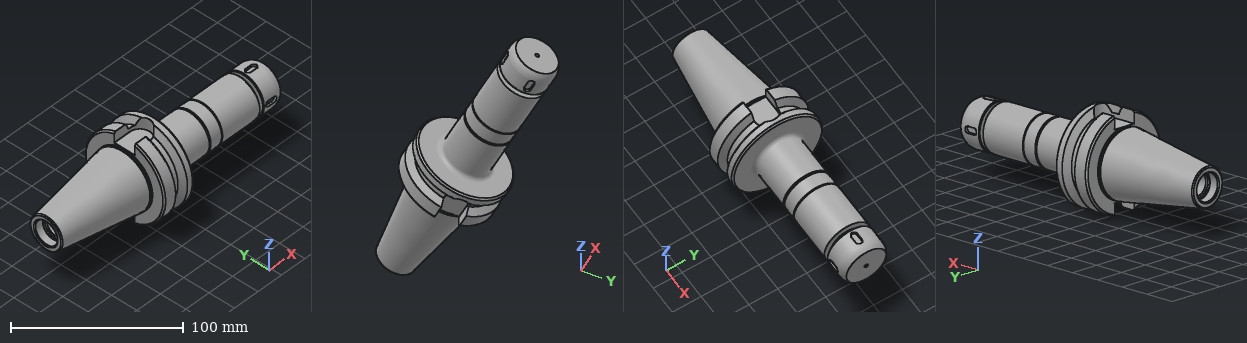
import cadquery as cq
import math

total_length = 185.4
taper_length = 65.5
flange_start = 67.1
flange_end = 92.3
body_end = 165.4
nut_start = 168.3

taper_ratio = 7 / 24
gauge_diameter = 44.5
taper_end_chamfer = 0.7
relief_diameter = 43.4
relief_end = 66.4

flange_diameter = 63.0
flange_chamfer = 1.1
groove_center = 81.8
groove_floor_diameter = 53.2
groove_floor_width = 4.5
groove_flank_angle = 60.0

drive_slot_width = 16.1
drive_slot_floor = 22.5
drive_slot_end = 88.5

body_diameter = 32.0
flange_fillet = 3.0
body_end_bevel_length = 1.1
body_end_bevel_height = 0.2
body_neck_diameter = 22.2
mark_depth = 0.2
wide_mark = (122.4, 1.1)
narrow_mark = (133.0, 0.5)

nut_start_chamfer = 0.5
nut_round_start = 179.8
nut_round_height = 1.9
nut_face_chamfer = 0.4
spanner_slot_width = 4.3
spanner_slot_start = 170.5
spanner_slot_end = 179.7
spanner_slot_depth = 1.9
spanner_slot_count = 4

mouth_diameter = 19.0
pilot_diameter = 17.5
mouth_chamfer = (mouth_diameter - pilot_diameter) / 2
pilot_depth = 6.7
undercut_diameter = 16.7
thread_diameter = 16.0
thread_start_depth = 7.8
core_diameter = 14.3
thread_chamfer = (thread_diameter - core_diameter) / 2
core_depth = 34.3
cone_end_diameter = 6.0
cone_half_angle = 60.0
coolant_diameter = 2.5

gauge_radius = gauge_diameter / 2
small_end_radius = gauge_radius - taper_length * taper_ratio / 2
relief_radius = relief_diameter / 2
flange_radius = flange_diameter / 2
body_radius = body_diameter / 2
body_neck_radius = body_neck_diameter / 2
groove_floor_radius = groove_floor_diameter / 2
groove_flank_length = (flange_radius - groove_floor_radius) / math.tan(math.radians(groove_flank_angle))
groove_floor_start = groove_center - groove_floor_width / 2
groove_floor_end = groove_center + groove_floor_width / 2
cone_end_depth = core_depth + (core_diameter - cone_end_diameter) / 2 / math.tan(math.radians(cone_half_angle))


def turned_blank():
    """Outer shape of taper, flange, body and nut, revolved about the X axis."""
    round_end = total_length - nut_face_chamfer
    round_end_radius = body_radius - nut_round_height
    profile = (
        cq.Workplane("XY")
        .moveTo(0, 0)
        .lineTo(0, small_end_radius - taper_end_chamfer)
        .lineTo(taper_end_chamfer, small_end_radius + taper_end_chamfer * taper_ratio / 2)
        .lineTo(taper_length, gauge_radius)
        .lineTo(taper_length, relief_radius)
        .lineTo(relief_end, relief_radius)
        .lineTo(relief_end, gauge_radius)
        .lineTo(flange_start, gauge_radius)
        .lineTo(flange_start, flange_radius - flange_chamfer)
        .lineTo(flange_start + flange_chamfer, flange_radius)
        .lineTo(groove_floor_start - groove_flank_length, flange_radius)
        .lineTo(groove_floor_start, groove_floor_radius)
        .lineTo(groove_floor_end, groove_floor_radius)
        .lineTo(groove_floor_end + groove_flank_length, flange_radius)
        .lineTo(flange_end - flange_chamfer, flange_radius)
        .lineTo(flange_end, flange_radius - flange_chamfer)
        .lineTo(flange_end, body_radius + flange_fillet)
        .radiusArc((flange_end + flange_fillet, body_radius), -flange_fillet)
        .lineTo(body_end - body_end_bevel_length, body_radius)
        .lineTo(body_end, body_radius - body_end_bevel_height)
        .lineTo(body_end, body_neck_radius)
        .lineTo(nut_start, body_neck_radius)
        .lineTo(nut_start, body_radius - nut_start_chamfer)
        .lineTo(nut_start + nut_start_chamfer, body_radius)
        .lineTo(nut_round_start, body_radius)
        .tangentArcPoint((round_end, round_end_radius), relative=False)
        .lineTo(total_length, round_end_radius - nut_face_chamfer)
        .lineTo(total_length, 0)
        .close()
    )
    return profile.revolve(360, (0, 0, 0), (1, 0, 0))


def mark_ring(start, width):
    """Shallow ring to cut around the body."""
    return (
        cq.Workplane("YZ", origin=(start, 0, 0))
        .circle(body_radius + mark_depth)
        .circle(body_radius - mark_depth)
        .extrude(width)
    )


def drive_slot():
    """Cutter for the upper drive slot: open toward the taper, round at its far end."""
    end_radius = drive_slot_width / 2
    arc_center = drive_slot_end - end_radius
    return (
        cq.Workplane("XY", origin=(0, 0, drive_slot_floor))
        .moveTo(taper_length, -end_radius)
        .lineTo(arc_center, -end_radius)
        .threePointArc((drive_slot_end, 0), (arc_center, end_radius))
        .lineTo(taper_length, end_radius)
        .close()
        .extrude(flange_radius)
    )


def spanner_slot():
    """Cutter for the spanner slot on top of the nut."""
    slot_length = spanner_slot_end - spanner_slot_start
    slot_center = (spanner_slot_start + spanner_slot_end) / 2
    return (
        cq.Workplane("XY", origin=(slot_center, 0, body_radius - spanner_slot_depth))
        .slot2D(slot_length, spanner_slot_width)
        .extrude(body_radius)
    )


def stepped_bore():
    """Cutter for the pull stud bore, its conical bottom and the coolant hole."""
    profile = (
        cq.Workplane("XY")
        .moveTo(0, 0)
        .lineTo(0, mouth_diameter / 2)
        .lineTo(mouth_chamfer, pilot_diameter / 2)
        .lineTo(pilot_depth, pilot_diameter / 2)
        .lineTo(pilot_depth, undercut_diameter / 2)
        .lineTo(thread_start_depth, thread_diameter / 2)
        .lineTo(thread_start_depth + thread_chamfer, core_diameter / 2)
        .lineTo(core_depth, core_diameter / 2)
        .lineTo(cone_end_depth, cone_end_diameter / 2)
        .lineTo(cone_end_depth, coolant_diameter / 2)
        .lineTo(total_length, coolant_diameter / 2)
        .lineTo(total_length, 0)
        .close()
    )
    return profile.revolve(360, (0, 0, 0), (1, 0, 0))


result = turned_blank()
for mark_start, mark_width in (wide_mark, narrow_mark):
    result = result.cut(mark_ring(mark_start, mark_width))
for angle in (0, 180):
    result = result.cut(drive_slot().rotate((0, 0, 0), (1, 0, 0), angle))
for index in range(spanner_slot_count):
    angle = index * 360 / spanner_slot_count
    result = result.cut(spanner_slot().rotate((0, 0, 0), (1, 0, 0), angle))
result = result.cut(stepped_bore())